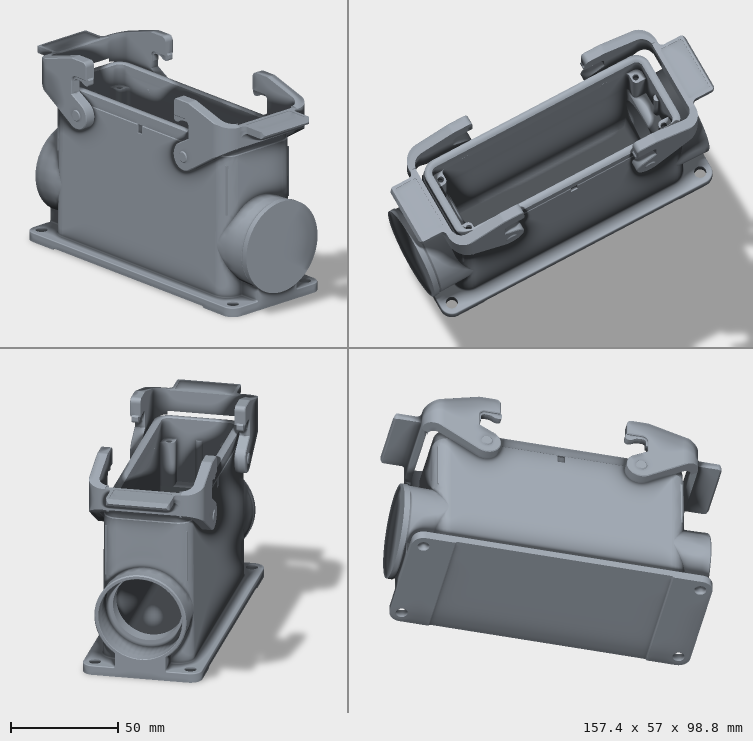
import cadquery as cq
import math

OVERALL_LENGTH = 157.4
OVERALL_WIDTH = 57.0
OVERALL_HEIGHT = 98.8

FLANGE_HALF_X = 72.0
FLANGE_HALF_Y = OVERALL_WIDTH / 2
FLANGE_TOP = 4.5
FLANGE_CORNER = 5.7
FLANGE_EDGE_ROUND = 0.5
MOUNT_HOLE_DIA = 5.7
FOOT_INNER_X = 52.3
FOOT_HEIGHT = 0.8

BODY_FOOT_HALF = (60.8, 21.9)
BODY_LEAN = 0.6
BODY_TOP_HALF = (BODY_FOOT_HALF[0] - BODY_LEAN, BODY_FOOT_HALF[1] - BODY_LEAN)
BODY_FOOT_CORNER = 7.7
BODY_TOP_CORNER = BODY_FOOT_CORNER - BODY_LEAN
BODY_TOP = 75.0
BODY_TOP_BEVEL = 0.4
BODY_FOOT_ROUND = 0.6
LIP_HALF = (59.5, 21.0)
LIP_CORNER = 7.0
LIP_WIDTH = 3.6
LIP_CROWN = 0.5
LIP_TOP = 80.7
LIP_SHOULDER = LIP_TOP - LIP_CROWN
NOTCH_WIDTH = 3.5
NOTCH_BOTTOM = 70.5
NOTCH_DEPTH = 1.3

CAVITY_HALF = (LIP_HALF[0] - LIP_WIDTH, LIP_HALF[1] - LIP_WIDTH)
CAVITY_CORNER = LIP_CORNER - LIP_WIDTH
STRAIGHT_BOTTOM = 75.5
PILLAR_TOP = 70.2
LEDGE_TOP = 48.8
LEAN = 0.2
FLOOR_Z = 4.7
WELL_TOP_HALF_X = 48.8
WELL_FLOOR_HALF_X = 48.3
WELL_TOP_HALF_Y = CAVITY_HALF[1] - LEAN
WELL_FLOOR_HALF_Y = 16.5
WELL_FLOOR_ROUND = 2.8
LEDGE_ROUND = 3.3

PILLAR_INNER_X = 49.7
PILLAR_INNER_Y = 10.7
PILLAR_ROUND = 2.2
PILLAR_FLARE = 1.4
SCREW_X = 52.0
SCREW_Y = 13.5
SCREW_DIA = 3.0
SCREW_DEPTH = 4.7
KEY_RADIUS = 1.7

ENTRY_Z = 29.7
ENTRY_DIA = 44.0
ENTRY_ROOT_DIA = 43.1
ENTRY_RIM_DIA = 43.0
BORE_DIA = 40.0
BORE_MOUTH_DIA = 40.5
PASSAGE_DIA = 33.0
BORE_END_X = CAVITY_HALF[0]
SADDLE_HALF_Y = 12.1
SADDLE_ROUND = 0.6

PLUG_NECK_DIA = 43.0
PLUG_NECK_LENGTH = 0.6
PLUG_HEAD_DIA = 45.0
PLUG_HEAD_LENGTH = 2.7

ARM_OUTER_Y = 27.5
ARM_INNER_Y = 22.5
LEVER_END_X = 66.0
LEVER_PLATE = 2.8
LEVER_OUTER_ROUND = 8.7
LEVER_INNER_ROUND = 5.7
LEVER_EDGE_BEVEL = 0.4
PIVOT = (37.0, 70.8)
PIVOT_RADIUS = 7.0
PLATE_BOTTOM = 80.9
PLATE_TOP = 91.3
CREST_X = 40.5
CREST_ROUND = 3.1
PLATE_HALF_Y = ARM_OUTER_Y - 9.5
HOOK_TIP_X = 30.2
HOOK_TOP_ROUND = 2.4
HOOK_UNDERSIDE = 89.9
SLOT_END_X = 40.3
SLOT_ROUND = 2.7
SLOT_BOTTOM = 80.7
CATCH_WIDTH = 3.1
CATCH_TIP_X = 29.6
CATCH_TIP_Z = 86.9
CATCH_SEAT_Z = 88.5
CATCH_LINING = 0.8

HANDLE_END_X = OVERALL_LENGTH / 2
HANDLE_HALF_Y = 15.3
HANDLE_BOTTOM = 87.8
HANDLE_NOSE_Z = 89.2
HANDLE_SLOPE = 1.1
HANDLE_CORNER = 2.2
HANDLE_ROOT_ROUND = 2.2
PANEL_X = (65.2, 76.5)
PANEL_HALF_Y = 13.9
PANEL_CORNER = 1.1
PANEL_DEPTH = 0.3

PIN_DIA = 4.0
PIN_HEAD_DIA = 5.7
PIN_HEAD_TOP_DIA = 4.7
PIN_HEAD_HEIGHT = 0.5
SPACER_DIA = 7.0


def straight_block(half, corner, z_low, z_high):
    """Rounded rectangular block from z_low to z_high, centred on the Z axis."""
    outline = cq.Sketch().rect(2 * half[0], 2 * half[1]).vertices().fillet(corner)
    return cq.Workplane("XY", origin=(0, 0, z_low)).placeSketch(outline).extrude(z_high - z_low)


def drafted_block(low_half, high_half, corner, z_low, z_high):
    """Rounded block whose half sizes change evenly from z_low to z_high."""
    low = cq.Sketch().rect(2 * low_half[0], 2 * low_half[1]).vertices().fillet(corner)
    high = cq.Sketch().rect(2 * high_half[0], 2 * high_half[1]).vertices().fillet(corner)
    high = high.moved(cq.Location(cq.Vector(0, 0, z_high - z_low)))
    return cq.Workplane("XY", origin=(0, 0, z_low)).placeSketch(low, high).loft(ruled=True)


def x_cylinder(dia, x_start, x_end):
    """Cylinder along X on the axis of the cable entries."""
    start = cq.Workplane("YZ", origin=(x_start, 0, ENTRY_Z))
    return start.circle(dia / 2).extrude(x_end - x_start)


def box_between(x, y, z):
    """Box spanning the given (low, high) pairs."""
    size = (x[1] - x[0], y[1] - y[0], z[1] - z[0])
    return cq.Workplane("XY").box(*size, centered=False).translate((x[0], y[0], z[0]))


def both_ends(shape):
    """The shape at the +X end together with its mirror image at the -X end."""
    return shape.union(shape.mirror("YZ"))



def make_flange():
    flange = straight_block((FLANGE_HALF_X, FLANGE_HALF_Y), FLANGE_CORNER, 0, FLANGE_TOP)
    flange = flange.faces(">Z").edges().fillet(FLANGE_EDGE_ROUND)
    recess = (
        cq.Workplane("XZ")
        .polyline([
            (-FOOT_INNER_X, 0),
            (FOOT_INNER_X, 0),
            (FOOT_INNER_X - FOOT_HEIGHT, FOOT_HEIGHT),
            (-FOOT_INNER_X + FOOT_HEIGHT, FOOT_HEIGHT),
        ])
        .close()
        .extrude(FLANGE_HALF_Y, both=True)
    )
    return flange.cut(recess)


def make_mount_holes():
    hole_x = FLANGE_HALF_X - FLANGE_CORNER
    hole_y = FLANGE_HALF_Y - FLANGE_CORNER
    spots = [(sx * hole_x, sy * hole_y) for sx in (-1, 1) for sy in (-1, 1)]
    return cq.Workplane("XY").pushPoints(spots).circle(MOUNT_HOLE_DIA / 2).extrude(FLANGE_TOP)


def make_body():
    """Drafted outer body, with a bevel around its top edge."""
    draft = math.degrees(math.atan(BODY_LEAN / (BODY_TOP - FOOT_HEIGHT)))
    outline = cq.Sketch().rect(2 * BODY_FOOT_HALF[0], 2 * BODY_FOOT_HALF[1])
    outline = outline.vertices().fillet(BODY_FOOT_CORNER)
    start = cq.Workplane("XY", origin=(0, 0, FOOT_HEIGHT)).placeSketch(outline)
    body = start.extrude(BODY_TOP - FOOT_HEIGHT, taper=draft)
    return body.faces(">Z").edges().chamfer(BODY_TOP_BEVEL)


def make_entry():
    """Cable boss at the +X end, with the saddle that joins it to the flange."""
    corner_x = BODY_TOP_HALF[0] - BODY_TOP_CORNER
    boss_length = FLANGE_HALF_X - corner_x
    boss_start = cq.Vector(corner_x, 0, ENTRY_Z)
    boss = cq.Workplane(
        cq.Solid.makeCone(ENTRY_ROOT_DIA / 2, ENTRY_DIA / 2, boss_length, boss_start, cq.Vector(1, 0, 0))
    )
    boss = boss.faces(">X").edges().chamfer((ENTRY_DIA - ENTRY_RIM_DIA) / 2)
    saddle = box_between((corner_x, FLANGE_HALF_X), (-SADDLE_HALF_Y, SADDLE_HALF_Y), (FOOT_HEIGHT, ENTRY_Z))
    saddle = saddle.cut(x_cylinder(ENTRY_RIM_DIA, corner_x, FLANGE_HALF_X))
    return boss.union(saddle)


def round_foot(shell):
    """Round the joint between the body and the flange."""
    foot_box = cq.selectors.BoxSelector(
        (-BODY_FOOT_HALF[0] - 1.5, -BODY_FOOT_HALF[1] - 1.5, FLANGE_TOP - 0.2),
        (BODY_FOOT_HALF[0] + 1.5, BODY_FOOT_HALF[1] + 1.5, FLANGE_TOP + 0.2),
    )
    return shell.edges(foot_box).fillet(BODY_FOOT_ROUND)


def round_saddles(shell):
    """Round the upright corners between the saddles and the body."""
    middle_z = (FLANGE_TOP + ENTRY_Z) / 4 + 1.5
    for side_x in (-1, 1):
        for side_y in (-1, 1):
            corner = (side_x * BODY_FOOT_HALF[0], side_y * SADDLE_HALF_Y, middle_z)
            shell = shell.edges(cq.selectors.NearestToPointSelector(corner)).fillet(SADDLE_ROUND)
    return shell


def make_entry_bore():
    """Stepped bore of the entry at the +X end."""
    mouth_bevel = (BORE_MOUTH_DIA - BORE_DIA) / 2
    bore = x_cylinder(BORE_DIA, BORE_END_X, FLANGE_HALF_X)
    mouth = x_cylinder(BORE_MOUTH_DIA, FLANGE_HALF_X - mouth_bevel, FLANGE_HALF_X)
    mouth = mouth.faces("<X").edges().chamfer(mouth_bevel * 0.99)
    return bore.union(mouth).union(x_cylinder(PASSAGE_DIA, 0, BORE_END_X))


def make_lip():
    """Upright rim, closed on top by a shallow crown."""
    lip = straight_block(LIP_HALF, LIP_CORNER, BODY_TOP, LIP_SHOULDER)
    inset = LIP_WIDTH / 2
    path = (
        cq.Workplane("XY", origin=(0, 0, LIP_SHOULDER))
        .rect(2 * (LIP_HALF[0] - inset), 2 * (LIP_HALF[1] - inset))
        .extrude(1.5)
        .edges("|Z")
        .fillet(LIP_CORNER - inset)
        .faces("<Z")
        .wires()
    )
    middle_y = LIP_HALF[1] - inset
    crown = (
        cq.Workplane("YZ", origin=(0, middle_y, LIP_SHOULDER))
        .moveTo(-inset, 0)
        .threePointArc((0, LIP_CROWN), (inset, 0))
        .close()
        .sweep(path)
    )
    return lip, crown


def make_cavity():
    upper = straight_block(CAVITY_HALF, CAVITY_CORNER, STRAIGHT_BOTTOM, LIP_TOP)
    leaned_half = (CAVITY_HALF[0], WELL_TOP_HALF_Y)
    leaning = drafted_block(leaned_half, CAVITY_HALF, CAVITY_CORNER, PILLAR_TOP, STRAIGHT_BOTTOM)
    lower = straight_block(leaned_half, CAVITY_CORNER, LEDGE_TOP, PILLAR_TOP)
    return upper.union(leaning).union(lower)


def make_well():
    """Deep middle of the cavity, with drafted long walls and a rounded floor."""
    height = LEDGE_TOP - FLOOR_Z
    well = (
        cq.Workplane("XY", origin=(0, 0, FLOOR_Z))
        .rect(2 * WELL_FLOOR_HALF_X, 2 * WELL_FLOOR_HALF_Y)
        .workplane(offset=height)
        .rect(2 * WELL_TOP_HALF_X, 2 * WELL_TOP_HALF_Y)
        .loft()
    )
    return well.faces("<Z").edges().fillet(WELL_FLOOR_ROUND)


def make_ledge_round():
    """Material removed to round the inner edge of the ledge at the +X end."""
    corner = (WELL_TOP_HALF_X, LEDGE_TOP)
    diagonal = LEDGE_ROUND * (1 - math.sqrt(0.5))
    return (
        cq.Workplane("XZ")
        .moveTo(*corner)
        .lineTo(corner[0] + LEDGE_ROUND, corner[1])
        .threePointArc((corner[0] + diagonal, corner[1] - diagonal), (corner[0], corner[1] - LEDGE_ROUND))
        .close()
        .extrude(WELL_TOP_HALF_Y, both=True)
    )


def make_pillar():
    """Screw pillar in the (+X, +Y) corner of the cavity."""
    wall_x, wall_y = BODY_TOP_HALF[0] - 1.5, BODY_TOP_HALF[1] - 1.5
    inner_y = WELL_TOP_HALF_Y
    base_z = LEDGE_TOP - LEDGE_ROUND
    flare = PILLAR_FLARE * (1 - math.sqrt(0.5))
    bend = PILLAR_ROUND * (1 - math.sqrt(0.5))
    pillar = (
        cq.Workplane("XY", origin=(0, 0, base_z))
        .moveTo(wall_x, wall_y)
        .lineTo(PILLAR_INNER_X - PILLAR_FLARE, wall_y)
        .lineTo(PILLAR_INNER_X - PILLAR_FLARE, inner_y)
        .threePointArc((PILLAR_INNER_X - flare, inner_y - flare), (PILLAR_INNER_X, inner_y - PILLAR_FLARE))
        .lineTo(PILLAR_INNER_X, PILLAR_INNER_Y + PILLAR_ROUND)
        .threePointArc(
            (PILLAR_INNER_X + bend, PILLAR_INNER_Y + bend),
            (PILLAR_INNER_X + PILLAR_ROUND, PILLAR_INNER_Y),
        )
        .lineTo(wall_x, PILLAR_INNER_Y)
        .close()
        .extrude(PILLAR_TOP - base_z)
    )
    drill_radius = SCREW_DIA / 2
    drill = (
        cq.Workplane("XZ")
        .polyline([
            (0, 0),
            (drill_radius, 0),
            (drill_radius, -SCREW_DEPTH),
            (0, -SCREW_DEPTH - drill_radius),
        ])
        .close()
        .revolve(360, (0, 0, 0), (0, 1, 0))
        .translate((SCREW_X, SCREW_Y, PILLAR_TOP))
    )
    return pillar.cut(drill)


def make_key_rib():
    rib = cq.Workplane("XY", origin=(CAVITY_HALF[0], 0, LEDGE_TOP)).circle(KEY_RADIUS)
    return rib.extrude(PILLAR_TOP - LEDGE_TOP)


def make_pin_holes():
    return (
        cq.Workplane("XZ")
        .pushPoints([(side * PIVOT[0], PIVOT[1]) for side in (-1, 1)])
        .circle(PIN_DIA / 2)
        .extrude(BODY_FOOT_HALF[1], both=True)
    )


def make_notches():
    """Small recess at the top middle of both long sides."""
    notch_bottom_y = BODY_TOP_HALF[1] - NOTCH_DEPTH
    half = NOTCH_WIDTH / 2
    notch = box_between((-half, half), (notch_bottom_y, BODY_FOOT_HALF[1]), (NOTCH_BOTTOM, BODY_TOP))
    return notch.union(notch.mirror("XZ"))


def make_housing():
    lip, crown = make_lip()
    shell = round_foot(make_body().union(make_flange()))
    shell = round_saddles(shell.union(both_ends(make_entry()))).union(lip)
    shell = shell.cut(make_cavity()).union(crown)
    shell = shell.cut(make_well()).cut(both_ends(make_ledge_round()))
    pillar = both_ends(make_pillar())
    shell = shell.union(pillar).union(pillar.mirror("XZ")).union(both_ends(make_key_rib()))
    shell = shell.cut(both_ends(make_entry_bore()))
    return shell.cut(make_mount_holes()).cut(make_pin_holes()).cut(make_notches())



def make_plug():
    neck_end = FLANGE_HALF_X + PLUG_NECK_LENGTH
    shank = x_cylinder(BORE_DIA, BORE_END_X, FLANGE_HALF_X)
    neck = x_cylinder(PLUG_NECK_DIA, FLANGE_HALF_X, neck_end)
    head = x_cylinder(PLUG_HEAD_DIA, neck_end, neck_end + PLUG_HEAD_LENGTH)
    return shank.union(neck).union(head)



def tangent_point(point, side):
    """Where a line from the point touches the rounded pivot end of the arm."""
    dx, dz = point[0] - PIVOT[0], point[1] - PIVOT[1]
    angle = math.atan2(dz, dx) + side * math.acos(PIVOT_RADIUS / math.hypot(dx, dz))
    return (PIVOT[0] + PIVOT_RADIUS * math.cos(angle), PIVOT[1] + PIVOT_RADIUS * math.sin(angle))


def make_arm_profile():
    """Side outline of the lever, spread over its full width."""
    plate_bottom = (LEVER_END_X, PLATE_BOTTOM)
    slot_bottom = (SLOT_END_X, SLOT_BOTTOM)
    top_bend = HOOK_TOP_ROUND * (1 - math.sqrt(0.5))
    slot_bend = SLOT_ROUND * (1 - math.sqrt(0.5))
    return (
        cq.Workplane("XZ")
        .moveTo(*plate_bottom)
        .lineTo(LEVER_END_X, PLATE_TOP)
        .lineTo(CREST_X, OVERALL_HEIGHT)
        .lineTo(HOOK_TIP_X + HOOK_TOP_ROUND, OVERALL_HEIGHT)
        .threePointArc(
            (HOOK_TIP_X + top_bend, OVERALL_HEIGHT - top_bend),
            (HOOK_TIP_X, OVERALL_HEIGHT - HOOK_TOP_ROUND),
        )
        .lineTo(HOOK_TIP_X, HOOK_UNDERSIDE)
        .lineTo(SLOT_END_X - SLOT_ROUND, HOOK_UNDERSIDE)
        .threePointArc(
            (SLOT_END_X - slot_bend, HOOK_UNDERSIDE - slot_bend),
            (SLOT_END_X, HOOK_UNDERSIDE - SLOT_ROUND),
        )
        .lineTo(*slot_bottom)
        .lineTo(*tangent_point(slot_bottom, 1))
        .threePointArc((PIVOT[0] - PIVOT_RADIUS, PIVOT[1]), tangent_point(plate_bottom, -1))
        .close()
        .extrude(ARM_OUTER_Y, both=True)
        .edges(cq.selectors.NearestToPointSelector((CREST_X, 0, OVERALL_HEIGHT)))
        .fillet(CREST_ROUND)
    )


def make_plate_trims():
    """Material removed so that the end plate has level top and bottom edges."""
    x = (LEVER_END_X - LEVER_PLATE, LEVER_END_X)
    y = (-PLATE_HALF_Y, PLATE_HALF_Y)
    above = box_between(x, y, (PLATE_TOP, OVERALL_HEIGHT))
    below = box_between(x, y, (0, PLATE_BOTTOM))
    return above.union(below)


def make_u_plan():
    """Plan outline of the lever: two arms joined by the end plate, over its full height."""
    outer_half = (LEVER_END_X, ARM_OUTER_Y)
    inner_half = (LEVER_END_X - LEVER_PLATE, ARM_INNER_Y)
    outer = straight_block(outer_half, LEVER_OUTER_ROUND, 0, OVERALL_HEIGHT)
    inner = straight_block(inner_half, LEVER_INNER_ROUND, 0, OVERALL_HEIGHT)
    return outer.cut(inner)


def make_handle():
    """Handle tab with a pointed nose and a shallow panel in its top."""
    root_x = LEVER_END_X - LEVER_PLATE
    shoulder_x = HANDLE_END_X - HANDLE_SLOPE
    handle = (
        cq.Workplane("XZ")
        .polyline([
            (root_x, PLATE_TOP),
            (shoulder_x, PLATE_TOP),
            (HANDLE_END_X, HANDLE_NOSE_Z),
            (shoulder_x, HANDLE_BOTTOM),
            (root_x, HANDLE_BOTTOM),
        ])
        .close()
        .extrude(HANDLE_HALF_Y, both=True)
    )
    plan_half = (HANDLE_END_X, HANDLE_HALF_Y)
    return handle.intersect(straight_block(plan_half, HANDLE_CORNER, 0, OVERALL_HEIGHT))


def make_panel():
    middle_x = sum(PANEL_X) / 2
    return (
        cq.Workplane("XY", origin=(middle_x, 0, PLATE_TOP - PANEL_DEPTH))
        .rect(PANEL_X[1] - PANEL_X[0], 2 * PANEL_HALF_Y)
        .extrude(PANEL_DEPTH)
        .edges("|Z")
        .fillet(PANEL_CORNER)
    )


def make_catch():
    """Narrow catch under the hook of the +Y arm, lining the slot and ending in a nose."""
    lining_x = SLOT_END_X - CATCH_LINING
    seat_start = SLOT_END_X - SLOT_ROUND
    lining_bottom = HOOK_UNDERSIDE - 2 * SLOT_ROUND
    nose_x = CATCH_TIP_X + 1.9
    profile = (
        cq.Workplane("XZ", origin=(0, (ARM_INNER_Y + ARM_OUTER_Y + CATCH_WIDTH) / 2, 0))
        .moveTo(SLOT_END_X, lining_bottom)
        .lineTo(lining_x, lining_bottom)
        .lineTo(lining_x, HOOK_UNDERSIDE - SLOT_ROUND)
        .threePointArc((lining_x - 0.5, CATCH_SEAT_Z - 0.5), (seat_start - 0.5, CATCH_SEAT_Z))
        .lineTo(nose_x + 4.4, CATCH_SEAT_Z)
        .spline([(nose_x, CATCH_TIP_Z)], tangents=[(-1, 0), (-1, 0)], includeCurrent=True)
        .threePointArc((CATCH_TIP_X + 0.3, CATCH_TIP_Z + 0.5), (CATCH_TIP_X, CATCH_TIP_Z + 1.4))
        .lineTo(CATCH_TIP_X, HOOK_UNDERSIDE)
        .lineTo(HOOK_TIP_X, HOOK_UNDERSIDE + CATCH_LINING)
        .lineTo(SLOT_END_X, HOOK_UNDERSIDE + CATCH_LINING)
        .close()
    )
    return profile.extrude(CATCH_WIDTH)


def make_pin():
    """Pin of the +Y arm: beveled head outside, spacer inside, end flush with the cavity wall."""
    head_y = ARM_OUTER_Y + PIN_HEAD_HEIGHT
    profile = [
        (0, WELL_TOP_HALF_Y),
        (PIN_DIA / 2, WELL_TOP_HALF_Y),
        (PIN_DIA / 2, BODY_TOP_HALF[1] + LEAN),
        (SPACER_DIA / 2, BODY_TOP_HALF[1] + LEAN),
        (SPACER_DIA / 2, ARM_INNER_Y),
        (PIN_HEAD_DIA / 2, ARM_INNER_Y),
        (PIN_HEAD_DIA / 2, ARM_OUTER_Y),
        (PIN_HEAD_TOP_DIA / 2, head_y),
        (0, head_y),
    ]
    pin = cq.Workplane("XY").polyline(profile).close().revolve(360, (0, 0, 0), (0, 1, 0))
    return pin.translate((PIVOT[0], 0, PIVOT[1]))


def make_lever():
    """Lever at the +X end."""
    lever = make_arm_profile()
    lever = lever.faces("<Y or >Y").edges().chamfer(LEVER_EDGE_BEVEL)
    lever = lever.intersect(make_u_plan()).cut(make_plate_trims()).union(make_handle())
    root_box = cq.selectors.BoxSelector(
        (LEVER_END_X - 0.2, -HANDLE_HALF_Y - 0.2, HANDLE_BOTTOM - 0.2),
        (LEVER_END_X + 0.2, HANDLE_HALF_Y + 0.2, PLATE_TOP - 0.2),
    )
    lever = lever.edges(root_box).fillet(HANDLE_ROOT_ROUND)
    lever = lever.cut(make_panel())
    for part in (make_catch(), make_pin()):
        lever = lever.union(part).union(part.mirror("XZ"))
    return lever


housing = make_housing()
plug = make_plug()
lever = make_lever()
levers = [lever, lever.mirror("YZ")]

result = cq.Compound.makeCompound([housing.val(), plug.val(), *[item.val() for item in levers]])